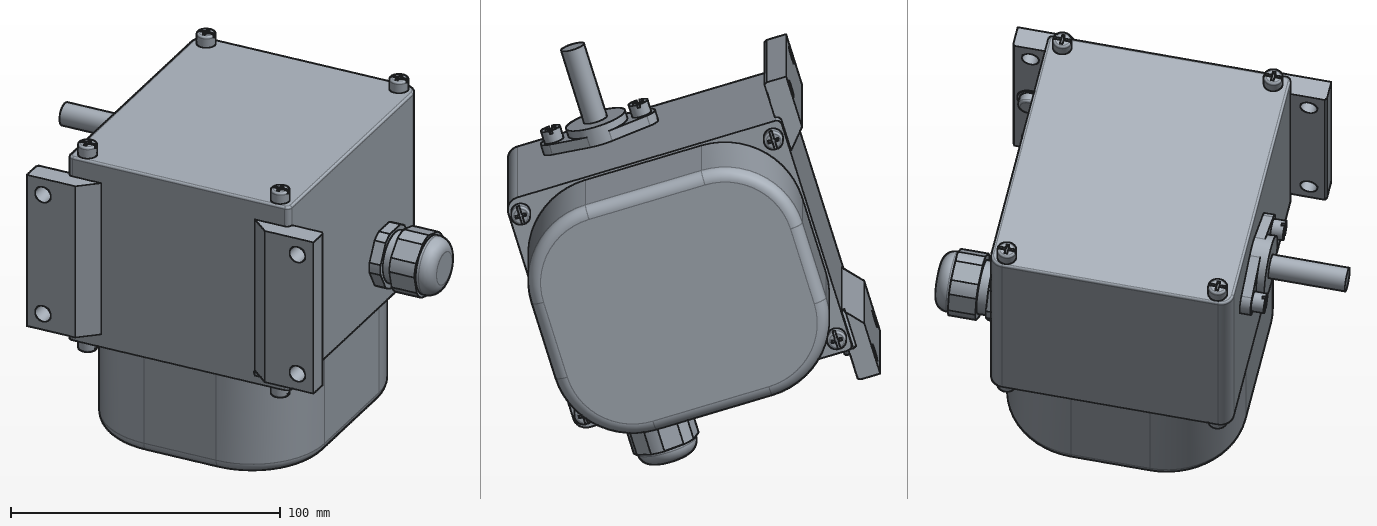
import cadquery as cq
import math

housing_width = 92.0
housing_depth = 107.0
housing_height = 77.0
back_corner_radius = 5.0
front_corner_radius = 2.0
top_edge_radius = 0.9
side_x = housing_width / 2
front_y = -housing_depth / 2

cover_width = 90.0
cover_depth = 105.0
cover_height = 41.3
cover_corner_radius = 30.0
cover_bottom_radius = 4.6

head_diameter = 7.2
head_height = 4.7
head_edge_radius = 0.9
slot_width = 1.0
slot_depth = 1.2
cross_length = 4.0
housing_screw_x = 40.0
housing_screw_y = 49.0

shaft_y = 16.0
shaft_z = 53.0
shaft_diameter = 9.0
shaft_length = 36.1
boss_diameter = 23.0
boss_length = 7.1
flange_thickness = 4.0
flange_lobe_radius = 5.2
flange_screw_offset = 17.0
flange_head_diameter = 7.4

feet_centre_x = -0.2
foot_outer_offset = 59.5
foot_hole_offset = 52.8
foot_taper_offset = 39.3
foot_inner_offset = 31.9
foot_bottom_z = 5.3
foot_height = 63.5
foot_projection = 6.5
foot_overlap = 2.1
foot_edge_chamfer_x = 0.6
foot_edge_chamfer_y = 1.1
foot_hole_diameter = 6.5
foot_hole_pitch = 50.0
foot_centre_z = foot_bottom_z + foot_height / 2
foot_front_y = front_y - foot_projection
foot_back_y = front_y + foot_overlap

weld_height = 2.1
weld_projection = 1.1
weld_overhang = 0.6

earth_head_diameter = 8.0
earth_head_height = 3.8
earth_washer_diameter = 10.0
earth_washer_thickness = 0.4

gland_y = 24.8
gland_z = 20.5
gland_base_flats = 23.0
gland_base_diameter = 24.5
gland_base_length = 4.6
gland_base_turn = 0.0
gland_neck_diameter = 20.4
gland_neck_length = 3.9
gland_nut_flats = 24.2
gland_nut_diameter = 25.4
gland_nut_length = 10.4
gland_nut_turn = 45.0
gland_dome_diameter = 22.8
gland_dome_length = 6.0
gland_dome_radius = 5.0


def make_housing():
    body = cq.Workplane("XY").box(housing_width, housing_depth, housing_height, centered=(True, True, False))
    body = body.edges("|Z and >Y").fillet(back_corner_radius)
    body = body.edges("|Z and <Y").fillet(front_corner_radius)
    return body.faces(">Z").edges().fillet(top_edge_radius)


def make_motor_cover():
    cover = cq.Workplane("XY").rect(cover_width, cover_depth).extrude(-cover_height)
    cover = cover.edges("|Z").fillet(cover_corner_radius)
    return cover.faces("<Z").edges().fillet(cover_bottom_radius)


def make_screw_head(diameter, edge_radius=0.0):
    """Head standing on Z = 0 with a slot along X and a short cross recess."""
    head = cq.Workplane("XY").circle(diameter / 2).extrude(head_height)
    if edge_radius > 0:
        head = head.faces(">Z").edges().fillet(edge_radius)
    top = cq.Workplane("XY").workplane(offset=head_height)
    slot = top.rect(2 * diameter, slot_width).extrude(-slot_depth)
    cross = top.rect(slot_width, cross_length).extrude(-slot_depth)
    return head.cut(slot).cut(cross)


def make_housing_screws():
    upper = make_screw_head(head_diameter, head_edge_radius)
    lower = upper.rotate((0, 0, 0), (1, 0, 0), 180)
    places = cq.Workplane("XY").rect(2 * housing_screw_x, 2 * housing_screw_y, forConstruction=True).vertices()
    screws = cq.Workplane("XY")
    for place in places.vals():
        centre = place.Center()
        screws = screws.add(upper.translate((centre.x, centre.y, housing_height)))
        screws = screws.add(lower.translate((centre.x, centre.y, 0)))
    return screws.combine()


def make_flange():
    """Central disc and two lobes joined by tangent lines, built on -X with its centre at the origin."""
    boss_radius = boss_diameter / 2
    lean = (boss_radius - flange_lobe_radius) / flange_screw_offset
    rise = math.sqrt(1 - lean ** 2)
    boss_tangent = (boss_radius * lean, boss_radius * rise)
    lobe_tangent = (flange_screw_offset + flange_lobe_radius * lean, flange_lobe_radius * rise)
    lobe_tip = flange_screw_offset + flange_lobe_radius
    return (
        cq.Workplane("YZ")
        .moveTo(*boss_tangent)
        .lineTo(*lobe_tangent)
        .threePointArc((lobe_tip, 0), (lobe_tangent[0], -lobe_tangent[1]))
        .lineTo(boss_tangent[0], -boss_tangent[1])
        .threePointArc((0, -boss_radius), (-boss_tangent[0], -boss_tangent[1]))
        .lineTo(-lobe_tangent[0], -lobe_tangent[1])
        .threePointArc((-lobe_tip, 0), (-lobe_tangent[0], lobe_tangent[1]))
        .lineTo(-boss_tangent[0], boss_tangent[1])
        .threePointArc((0, boss_radius), boss_tangent)
        .close()
        .extrude(-flange_thickness)
    )


def make_output_shaft():
    outward = cq.Workplane(cq.Plane(origin=(0, 0, 0), xDir=(0, 0, 1), normal=(-1, 0, 0)))
    shaft = outward.circle(shaft_diameter / 2).extrude(shaft_length)
    boss = outward.circle(boss_diameter / 2).extrude(boss_length)
    output = make_flange().union(boss).union(shaft)
    head = make_screw_head(flange_head_diameter).rotate((0, 0, 0), (0, 1, 0), -90)
    for side in (-1, 1):
        output = output.union(head.translate((-flange_thickness, side * flange_screw_offset, 0)))
    return output.translate((-side_x, shaft_y, shaft_z))


def make_foot(side):
    """Bevelled foot on one side of the front face; side is -1 for -X and 1 for +X."""
    def at(offset):
        return feet_centre_x + side * offset

    profile = [
        (at(foot_inner_offset), foot_back_y),
        (at(foot_inner_offset), front_y),
        (at(foot_taper_offset), foot_front_y),
        (at(foot_outer_offset), foot_front_y),
        (at(foot_outer_offset), foot_back_y - foot_edge_chamfer_y),
        (at(foot_outer_offset - foot_edge_chamfer_x), foot_back_y),
    ]
    foot = cq.Workplane("XY", origin=(0, 0, foot_bottom_z)).polyline(profile).close().extrude(foot_height)
    for end in (-1, 1):
        hole_z = foot_centre_z + end * foot_hole_pitch / 2
        hole = cq.Workplane("XZ", origin=(at(foot_hole_offset), 0, hole_z)).circle(foot_hole_diameter / 2)
        foot = foot.cut(hole.extrude(housing_depth, both=True))
    return foot


def make_weld():
    """Wedge between the front face and the underside of the right-hand foot."""
    start_x = feet_centre_x + foot_inner_offset
    profile = [
        (front_y + foot_overlap, foot_bottom_z),
        (front_y - weld_projection, foot_bottom_z),
        (front_y, foot_bottom_z - weld_height),
        (front_y + foot_overlap, foot_bottom_z - weld_height),
    ]
    weld = cq.Workplane("YZ", origin=(start_x, 0, 0)).polyline(profile).close()
    return weld.extrude(side_x + weld_overhang - start_x)


def make_earth_screw():
    base = (feet_centre_x + foot_hole_offset, foot_back_y, foot_centre_z)
    plane = cq.Workplane(cq.Plane(origin=base, xDir=(1, 0, 0), normal=(0, 1, 0)))
    washer = plane.circle(earth_washer_diameter / 2).extrude(earth_washer_thickness)
    head = plane.circle(earth_head_diameter / 2).extrude(earth_washer_thickness + earth_head_height)
    head = head.faces(">Y").edges().fillet(head_edge_radius)
    return washer.union(head)


def make_hexagon(start_x, length, flats, diameter, turn):
    """Hexagon along X whose corners are turned down to a given diameter."""
    plane = cq.Workplane("YZ", origin=(start_x, 0, 0))
    across_corners = flats / math.cos(math.pi / 6)
    hexagon = plane.polygon(6, across_corners).extrude(length)
    hexagon = hexagon.rotate((0, 0, 0), (1, 0, 0), turn)
    return hexagon.intersect(plane.circle(diameter / 2).extrude(length))


def make_cable_gland():
    neck_start = gland_base_length
    nut_start = neck_start + gland_neck_length
    dome_start = nut_start + gland_nut_length
    base = make_hexagon(0, gland_base_length, gland_base_flats, gland_base_diameter, gland_base_turn)
    neck = cq.Workplane("YZ", origin=(neck_start, 0, 0)).circle(gland_neck_diameter / 2).extrude(gland_neck_length)
    nut = make_hexagon(nut_start, gland_nut_length, gland_nut_flats, gland_nut_diameter, gland_nut_turn)
    dome = cq.Workplane("YZ", origin=(dome_start, 0, 0)).circle(gland_dome_diameter / 2).extrude(gland_dome_length)
    dome = dome.faces(">X").edges().fillet(gland_dome_radius)
    gland = base.union(neck).union(nut).union(dome)
    return gland.translate((side_x, gland_y, gland_z))


result = make_housing()
result = result.union(make_motor_cover())
result = result.union(make_housing_screws())
result = result.union(make_output_shaft())
for foot_side in (-1, 1):
    result = result.union(make_foot(foot_side))
result = result.union(make_weld())
result = result.union(make_earth_screw())
result = result.union(make_cable_gland())